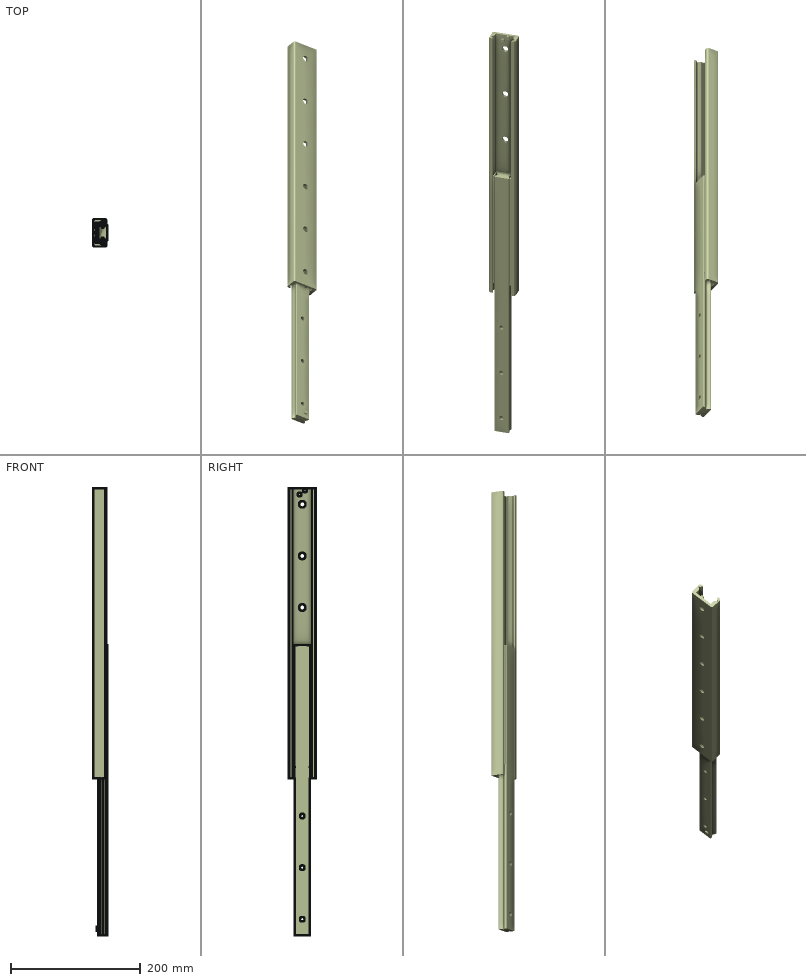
import cadquery as cq

slide_length = 693.0
rail_length = 450.0
outer_bottom = slide_length - rail_length

outer_back_x = -11.0
outer_lip_x = 10.0
outer_half_width = 21.5
web_thickness = 4.0
web_inner_x = outer_back_x + web_thickness
flange_inner_y = 15.0
outer_corner_radius = 2.4
lip_chamfer = 2.0
outer_hole_diameter = 10.0
outer_hole_count = 6

inner_back_x = -3.5
inner_front_x = 11.0
inner_half_width = 12.0
inner_corner_radius = 1.0
inner_hole_diameter = 7.0
inner_hole_count = 3

race_x = 3.8
race_half_width = 4.5
outer_race_y = 19.0
inner_race_y = 9.0
relief_width = 1.5
relief_depth = 1.05

hole_end_distance = 25.0
hole_pitch = (rail_length - 2 * hole_end_distance) / (outer_hole_count - 1)

outer_pin_diameter = 6.0
inner_pin_diameter = 7.0
pin_y = 4.0
end_pin_distance = 3.5
second_pin_distance = 10.0
outer_pin_gap = 0.35
inner_pin_z = 10.5
inner_pin_projection = 2.0
inner_pin_depth = 7.0

cage_thickness = 1.7
cage_half_width = 14.5
cage_web_gap = 1.0
cage_end_distance = 17.0
cage_back_x = web_inner_x + cage_web_gap
cage_bottom = outer_bottom + cage_end_distance


def x_cylinder(diameter, x_start, x_end, y, z):
    """Cylinder along X."""
    base = cq.Workplane("YZ", origin=(x_start, y, z))
    return base.circle(diameter / 2).extrude(x_end - x_start)


def bar(x_start, x_end, half_width, z_start, z_end):
    """Rectangular bar along Z, centred on Y = 0."""
    base = cq.Workplane("XY", origin=((x_start + x_end) / 2, 0, z_start))
    return base.rect(x_end - x_start, 2 * half_width).extrude(z_end - z_start)


def race_groove(side, mouth_y, apex_y, z_start):
    """Cutter for the race on one side (+1 or -1 in Y): a V-shaped prism and its relief slot."""
    vee = (
        cq.Workplane("XY", origin=(0, 0, z_start))
        .moveTo(race_x - race_half_width, side * mouth_y)
        .lineTo(race_x, side * apex_y)
        .lineTo(race_x + race_half_width, side * mouth_y)
        .close()
        .extrude(rail_length)
    )
    relief = (
        cq.Workplane("XY", origin=(race_x, side * apex_y, z_start))
        .rect(relief_width, 2 * relief_depth)
        .extrude(rail_length)
    )
    return vee.union(relief)


def build_outer_rail():
    rail = bar(outer_back_x, outer_lip_x, outer_half_width, outer_bottom, slide_length)
    rail = rail.edges("|Z and <X").fillet(outer_corner_radius)
    rail = rail.edges("|Z and >X").chamfer(lip_chamfer)
    rail = rail.cut(bar(web_inner_x, outer_lip_x, flange_inner_y, outer_bottom, slide_length))
    for side in (-1, 1):
        rail = rail.cut(race_groove(side, flange_inner_y, outer_race_y, outer_bottom))
    for i in range(outer_hole_count):
        z = outer_bottom + hole_end_distance + i * hole_pitch
        rail = rail.cut(x_cylinder(outer_hole_diameter, outer_back_x, web_inner_x, 0, z))
    return rail


def build_inner_rail():
    rail = bar(inner_back_x, inner_front_x, inner_half_width, 0, rail_length)
    rail = rail.edges("|Z").fillet(inner_corner_radius)
    for side in (-1, 1):
        rail = rail.cut(race_groove(side, inner_half_width, inner_race_y, 0))
    for i in range(inner_hole_count):
        z = hole_end_distance + i * hole_pitch
        rail = rail.cut(x_cylinder(inner_hole_diameter, inner_back_x, inner_front_x, 0, z))
    return rail


def build_outer_pin(y, z):
    """Stop pin flush with the back of the outer rail, reaching almost to the inner rail."""
    return x_cylinder(outer_pin_diameter, outer_back_x, inner_back_x - outer_pin_gap, y, z)


def build_inner_pin():
    """Stop pin standing out from the back of the inner rail."""
    x_start = inner_back_x - inner_pin_projection
    x_end = inner_back_x + inner_pin_depth
    return x_cylinder(inner_pin_diameter, x_start, x_end, -pin_y, inner_pin_z)


def build_cage():
    cage = bar(cage_back_x, outer_lip_x, cage_half_width, cage_bottom, rail_length)
    inside_x = cage_back_x + cage_thickness
    inside_half_width = cage_half_width - cage_thickness
    return cage.cut(bar(inside_x, outer_lip_x, inside_half_width, cage_bottom, rail_length))


outer_pin_places = [
    (pin_y, slide_length - end_pin_distance),
    (-pin_y, slide_length - second_pin_distance),
    (-pin_y, outer_bottom + end_pin_distance),
    (pin_y, outer_bottom + second_pin_distance),
]

outer_rail = build_outer_rail()
outer_pins = []
for place_y, place_z in outer_pin_places:
    outer_pin = build_outer_pin(place_y, place_z)
    outer_rail = outer_rail.cut(outer_pin)
    outer_pins.append(outer_pin.val())

inner_pin = build_inner_pin()
inner_rail = build_inner_rail().cut(inner_pin)
cage = build_cage()

result = cq.Compound.makeCompound(
    [outer_rail.val(), inner_rail.val(), cage.val(), inner_pin.val(), *outer_pins]
)